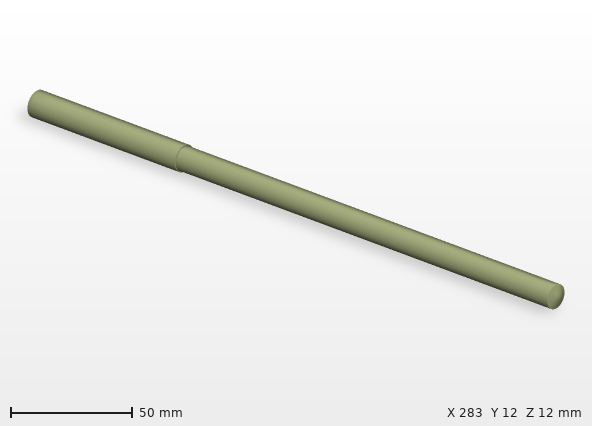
import cadquery as cq

overall_length = 283.0
shank_diameter = 12.0
shank_length = 80.0
body_diameter = 10.9
point_length = 1.5

shank_radius = shank_diameter / 2
body_radius = body_diameter / 2
point_start = overall_length - point_length


def make_drill_blank():
    """Revolve the half profile: plain shank, thinner body and conical point."""
    half_profile = (
        cq.Workplane("XY")
        .moveTo(0, 0)
        .lineTo(0, shank_radius)
        .lineTo(shank_length, shank_radius)
        .lineTo(shank_length, body_radius)
        .lineTo(point_start, body_radius)
        .lineTo(overall_length, 0)
        .close()
    )
    return half_profile.revolve(360, (0, 0, 0), (1, 0, 0))


result = make_drill_blank()